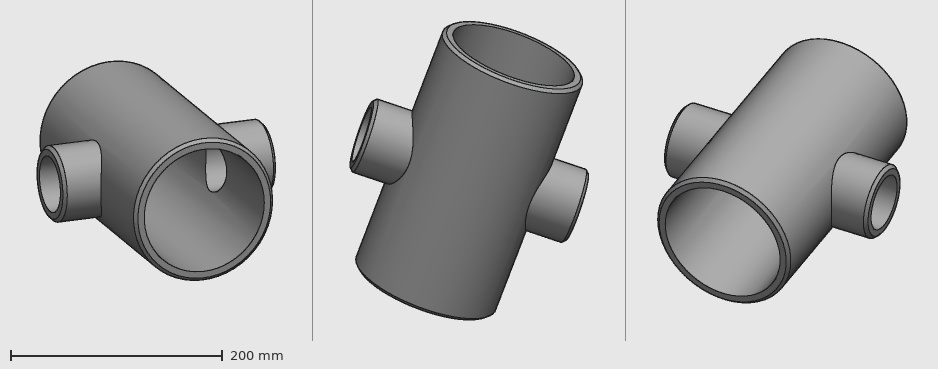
import cadquery as cq

run_length = 248.0
run_outer_diameter = 141.3
run_bore_diameter = 122.0

branch_span = 216.0
branch_outer_diameter = 73.1
branch_bore_diameter = 54.0

end_bevel = 3.2


def centered_cylinder(plane, diameter, length):
    """Cylinder along the plane normal, centred on the origin."""
    return cq.Workplane(plane).circle(diameter / 2).extrude(length / 2, both=True)


def beveled_bar(plane, diameter, length, end_faces):
    """Solid bar with both outer end edges beveled."""
    bar = centered_cylinder(plane, diameter, length)
    return bar.faces(end_faces).edges().chamfer(end_bevel)


run_body = beveled_bar("YZ", run_outer_diameter, run_length, "|X")
branch_body = beveled_bar("XZ", branch_outer_diameter, branch_span, "|Y")

run_bore = centered_cylinder("YZ", run_bore_diameter, run_length)
branch_bore = centered_cylinder("XZ", branch_bore_diameter, branch_span)

result = run_body.union(branch_body).cut(run_bore).cut(branch_bore)